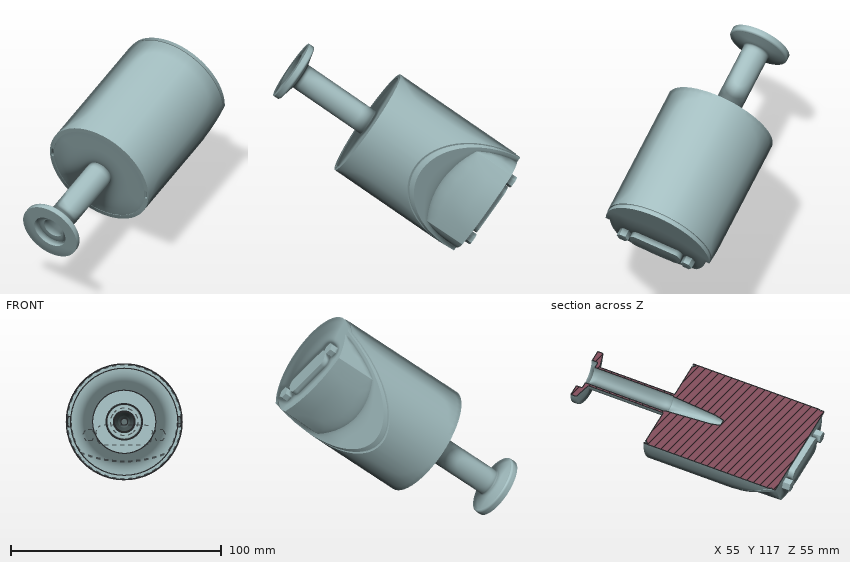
import cadquery as cq
import math


overlap = 1.2

flange_radius = 15.0
flange_rim_height = 2.2
flange_edge_radius = 1.0
flange_cone_angle = 15.0
tube_diameter = 13.0
tube_radius = tube_diameter / 2
tube_root_fillet = 0.6
recess_radius = 8.7
recess_depth = 3.0
recess_chamfer = 0.4

bore_radius = 5.1
bore_seat_radius = 4.7
bore_seat_depth = 0.6
bore_neck_radius = 2.8
bore_end_radius = 1.6
bore_neck_depth = 23.4
bore_end_depth = 28.1

body_radius = 27.5
body_front = 44.2
front_disc_radius = 25.4
front_disc_recess = 0.2

cap_radius = 27.3
seam_radius = 26.9
cap_back = 113.3
cap_thickness = 1.8
seam_gap = 0.6
slope_angle = 35.0
body_back = cap_back - cap_thickness - seam_gap
cap_middle_offset = seam_gap + cap_thickness / 2

box_back_radius = 25.0
box_back_bottom = -18.6
box_corner_z = -14.6
box_draft = 1.0

standoff_z = -6.2
shell_z = -6.3
shell_width = 26.7
shell_height = 9.4
shell_corner_radius = 3.3
shell_side_angle = 10.0
shell_length = 2.8
standoff_spacing = 33.5
hexagon_sides = 6
standoff_corner_diameter = 6.0
standoff_end = 117.0

notch_width = 5.1
notch_outer_radius = 26.8
notch_corner_radius = 1.0
notch_depth = 1.8


def solid_of_revolution(profile):
    return profile.close().revolve(360, (0, 0, 0), (0, 1, 0))


def disc(radius, start, end):
    return cq.Workplane("XZ", origin=(0, start, 0)).circle(radius).extrude(start - end)


def ahead_of_cap_line(offset):
    """Space in front of the body's bent rear edge, with that edge moved back by offset."""
    slope = math.radians(slope_angle)
    reach = 2 * body_radius
    kink_y = body_back + offset
    kink_z = -offset * math.tan(slope / 2)
    drop_y = kink_y - (kink_z + reach) / math.tan(slope)
    return (
        cq.Workplane("YZ")
        .moveTo(drop_y, -reach)
        .lineTo(kink_y, kink_z)
        .lineTo(kink_y, reach)
        .lineTo(-reach, reach)
        .lineTo(-reach, -reach)
        .close()
        .extrude(reach, both=True)
    )


def make_flange_and_tube():
    shoulder_y = flange_rim_height + flange_edge_radius
    shoulder_radius = flange_radius - flange_edge_radius
    cone_rise = (shoulder_radius - tube_radius) * math.tan(math.radians(flange_cone_angle))
    cone_top = shoulder_y + cone_rise
    profile = (
        cq.Workplane("XY")
        .moveTo(0, 0)
        .lineTo(flange_radius, 0)
        .lineTo(flange_radius, flange_rim_height)
        .radiusArc((shoulder_radius, shoulder_y), -flange_edge_radius)
        .lineTo(tube_radius, cone_top)
        .lineTo(tube_radius, body_front + overlap)
        .lineTo(0, body_front + overlap)
    )
    tube_root = cq.selectors.NearestToPointSelector((0, cone_top, 0))
    return solid_of_revolution(profile).edges(tube_root).fillet(tube_root_fillet)


def make_bore():
    profile = (
        cq.Workplane("XY")
        .moveTo(0, 0)
        .lineTo(recess_radius, 0)
        .lineTo(recess_radius, recess_depth - recess_chamfer)
        .lineTo(recess_radius - recess_chamfer, recess_depth)
        .lineTo(bore_radius, recess_depth)
        .lineTo(bore_radius, body_front)
        .lineTo(bore_seat_radius, body_front + bore_seat_depth)
        .lineTo(bore_neck_radius, body_front + bore_neck_depth)
        .lineTo(bore_end_radius, body_front + bore_end_depth)
        .lineTo(0, body_front + bore_end_depth)
    )
    return solid_of_revolution(profile)


def make_body():
    outer = disc(body_radius, body_front, cap_back)
    front_recess = disc(front_disc_radius, body_front, body_front + front_disc_recess)
    return outer.intersect(ahead_of_cap_line(0)).cut(front_recess)


def make_seam_core():
    core = disc(seam_radius, body_front + overlap, cap_back)
    return core.intersect(ahead_of_cap_line(cap_middle_offset))


def make_cap_plate():
    plate = disc(cap_radius, body_front, cap_back)
    plate = plate.intersect(ahead_of_cap_line(seam_gap + cap_thickness))
    return plate.cut(ahead_of_cap_line(seam_gap))


def make_connector_box():
    """Round-sided box with a shallow curved underside, widening towards the body."""
    corner_x = math.sqrt(box_back_radius**2 - box_corner_z**2)
    box = (
        cq.Workplane("XZ", origin=(0, cap_back, 0))
        .moveTo(-corner_x, box_corner_z)
        .threePointArc((0, box_back_bottom), (corner_x, box_corner_z))
        .threePointArc((0, box_back_radius), (-corner_x, box_corner_z))
        .close()
        .extrude(cap_back - body_front, taper=-box_draft)
    )
    box = box.intersect(disc(cap_radius, body_front, cap_back))
    return box.cut(ahead_of_cap_line(cap_middle_offset))


def make_connector_shell():
    slant = math.radians(shell_side_angle)
    corner_center_x = shell_width / 2 - shell_corner_radius
    side_x = corner_center_x + shell_corner_radius / math.cos(slant)
    side_x += shell_corner_radius * math.tan(slant)
    foot_x = side_x - shell_height * math.tan(slant)
    top_z = shell_z + shell_height / 2
    bottom_z = shell_z - shell_height / 2
    outline = [(-side_x, top_z), (side_x, top_z), (foot_x, bottom_z), (-foot_x, bottom_z)]
    return (
        cq.Workplane("XZ", origin=(0, cap_back, 0))
        .polyline(outline)
        .close()
        .extrude(-shell_length)
        .edges("|Y")
        .fillet(shell_corner_radius)
    )


def make_standoffs():
    return (
        cq.Workplane("XZ", origin=(0, cap_back, standoff_z))
        .pushPoints([(side * standoff_spacing / 2, 0) for side in (-1, 1)])
        .polygon(hexagon_sides, standoff_corner_diameter)
        .extrude(cap_back - standoff_end)
    )


def make_latch_notch(side):
    """Pocket in the front rim whose floor slopes down towards the outside."""
    return (
        cq.Workplane("XY")
        .moveTo(side * front_disc_radius, body_front)
        .lineTo(side * notch_outer_radius, body_front)
        .lineTo(side * notch_outer_radius, body_front + notch_depth)
        .lineTo(side * front_disc_radius, body_front + front_disc_recess)
        .close()
        .extrude(notch_width / 2, both=True)
        .edges("|Y")
        .edges(">X" if side > 0 else "<X")
        .fillet(notch_corner_radius)
    )


result = make_body().union(make_seam_core()).union(make_cap_plate())
result = result.union(make_connector_box())
result = result.union(make_connector_shell()).union(make_standoffs())
result = result.union(make_flange_and_tube()).cut(make_bore())
for notch_side in (-1, 1):
    result = result.cut(make_latch_notch(notch_side))